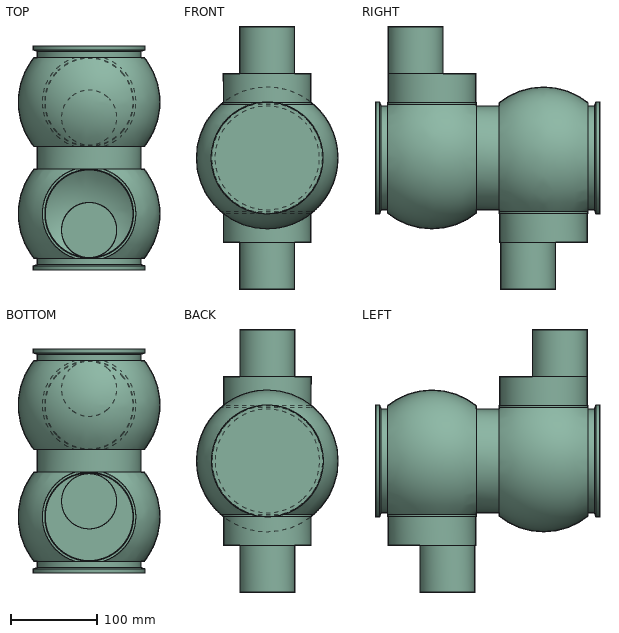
import cadquery as cq

length = 260.5
height = 305.5

ball_radius = 82.5
ball_spacing = 130.0
ball_width = 103.5
seat_height = 62.0

neck_radius = 60.5
flange_radius = 65.0
rim_thickness = 4.5
cone_length = 1.8

drum_radius = 51.0
drum_end = 98.0
collar_radius = 51.5
collar_height = 2.5
rod_radius = 32.0
upper_rod_offset = drum_radius - rod_radius
lower_rod_offset = 18.0


def make_neck():
    """Turned core along Y with a tapered flange at both ends."""
    half = length / 2
    rim_inner = half - rim_thickness
    cone_inner = rim_inner - cone_length
    profile = [
        (0, -half),
        (flange_radius, -half),
        (flange_radius, -rim_inner),
        (neck_radius, -cone_inner),
        (neck_radius, cone_inner),
        (flange_radius, rim_inner),
        (flange_radius, half),
        (0, half),
    ]
    return cq.Workplane("XY").polyline(profile).close().revolve(360, (0, 0, 0), (0, 1, 0))


def make_cylinder(radius, start, end, y=0):
    """Cylinder along Z between two heights."""
    return cq.Workplane("XY", origin=(0, y, start)).circle(radius).extrude(end - start)


def make_unit(rod_offset):
    """Ball with an upward drum and a rod shifted toward -Y."""
    trim_height = ball_radius + seat_height
    trim = (
        cq.Workplane("XY", origin=(0, 0, -ball_radius))
        .box(2 * ball_radius, ball_width, trim_height, centered=(True, True, False))
    )
    unit = cq.Workplane("XY").sphere(ball_radius).intersect(trim)
    unit = unit.union(make_cylinder(collar_radius, 0, seat_height + collar_height))
    unit = unit.union(make_cylinder(drum_radius, 0, drum_end))
    return unit.union(make_cylinder(rod_radius, 0, height / 2, -rod_offset))


front_unit = make_unit(upper_rod_offset).translate((0, -ball_spacing / 2, 0))
rear_unit = make_unit(lower_rod_offset).mirror("XY").translate((0, ball_spacing / 2, 0))

result = make_neck().union(front_unit).union(rear_unit)